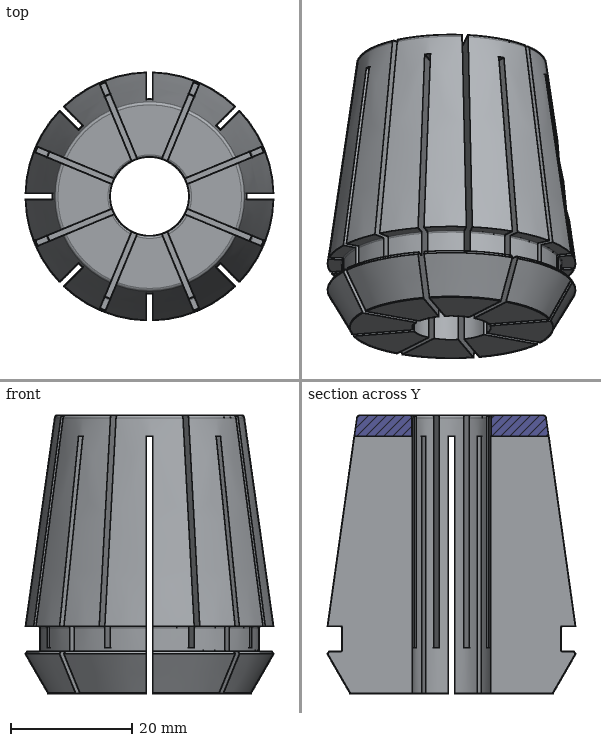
import cadquery as cq
import math

length = 46.0
major_radius = 20.5
bore_radius = 6.5
bore_fillet = 0.4

taper_angle = 8.0
taper_base_z = 11.1
top_fillet = 0.5

groove_radius = 18.1
groove_bottom_z = 7.0
groove_fillet = 0.2
flange_rim_z = 6.55
flange_top_radius = 20.2
flange_angle = 30.0
base_land_height = 0.15

slit_width = 1.0
slits_per_end = 8
slit_pitch = 360.0 / slits_per_end
lower_slit_top_z = 42.5
upper_slit_floor_z = 7.6


def collet_body():
    """Revolved collet with the top edges of the bore and taper rounded."""
    flange_slope = math.tan(math.radians(flange_angle))
    base_radius = major_radius - (flange_rim_z - base_land_height) * flange_slope
    taper_slope = math.tan(math.radians(taper_angle))
    top_radius = major_radius - (length - taper_base_z) * taper_slope
    body = (
        cq.Workplane("XZ")
        .moveTo(bore_radius, 0)
        .lineTo(base_radius, 0)
        .lineTo(base_radius, base_land_height)
        .lineTo(major_radius, flange_rim_z)
        .lineTo(flange_top_radius, groove_bottom_z)
        .lineTo(groove_radius + groove_fillet, groove_bottom_z)
        .radiusArc((groove_radius, groove_bottom_z + groove_fillet), groove_fillet)
        .lineTo(groove_radius, taper_base_z - groove_fillet)
        .radiusArc((groove_radius + groove_fillet, taper_base_z), groove_fillet)
        .lineTo(major_radius, taper_base_z)
        .lineTo(top_radius, length)
        .lineTo(bore_radius, length)
        .close()
        .revolve(360, (0, 0), (0, 1))
    )
    body = body.faces(">Z").edges(cq.selectors.RadiusNthSelector(1)).fillet(top_fillet)
    return body.faces(">Z").edges(cq.selectors.RadiusNthSelector(0)).fillet(bore_fillet)


def slit_cutters(bottom_z, top_z, first_angle):
    """Ring of radial blades reaching from inside the bore past the outer surface."""
    inner_reach = bore_radius / 2
    outer_reach = major_radius + slit_width
    blade = (
        cq.Workplane("XY", origin=(inner_reach, 0, bottom_z))
        .box(outer_reach - inner_reach, slit_width, top_z - bottom_z, centered=(False, True, False))
    )
    cutters = cq.Workplane("XY")
    for index in range(slits_per_end):
        angle = first_angle + index * slit_pitch
        cutters = cutters.add(blade.rotate((0, 0, 0), (0, 0, 1), angle))
    return cutters.combine()


result = (
    collet_body()
    .cut(slit_cutters(0, lower_slit_top_z, 0))
    .cut(slit_cutters(upper_slit_floor_z, length, slit_pitch / 2))
)